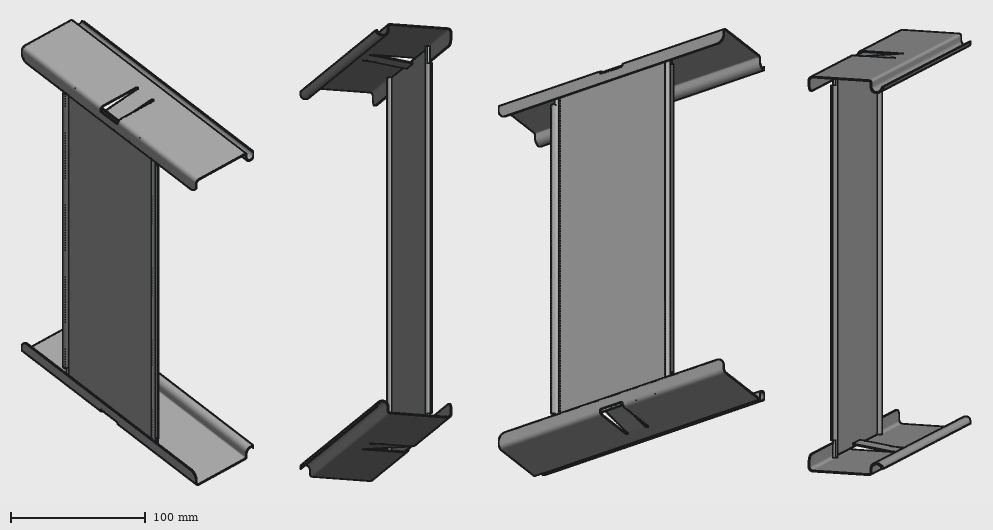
import cadquery as cq
import math

LENGTH = 200.0
DEPTH = 58.2
HEIGHT = 298.5
SHEET = 1.0

FRONT_BEND_R = 3.5
BACK_BEND_R = 2.2
FLANGE_HEIGHT = 12.2
FLANGE_CORNER_R = 6.0
HOOK_R = 4.7
HOOK_CENTRE_DROP = 5.0
HOOK_CORNER_R = 4.0

OPENING_WIDTH = 20.0
TAB_WIDTH = 16.0
WINDOW_CORNER_R = 1.5
WINDOW_DEPTH = 4.0
SLIT_END_Y = 36.0
TAB_HINGE_Y = 33.5
TAB_SLOPE = 0.13

WEB_SHEET = 1.0
WEB_CLEARANCE = 0.4
WEB_WIDTH = 109.0
WEB_END_GAP = 2.0
GROOVE_R = 2.0
GROOVE_X = 49.5
LIP_BEND_R = 0.8
LIP_END_GAP = 3.0
LIP_CORNER_R = 1.5

FLANGE_BOTTOM_Z = HEIGHT - FLANGE_HEIGHT
FRONT_BEND_Z = HEIGHT - FRONT_BEND_R
BACK_BEND_Z = HEIGHT - BACK_BEND_R
HOOK_INNER_R = HOOK_R - SHEET
HOOK_Y = DEPTH - HOOK_R
HOOK_Z = HEIGHT - HOOK_CENTRE_DROP
WALL_BACK_Y = HOOK_Y - HOOK_INNER_R
WALL_FRONT_Y = WALL_BACK_Y - SHEET
BACK_BEND_Y = WALL_BACK_Y - BACK_BEND_R
WINDOW_BOTTOM_Z = HEIGHT - WINDOW_DEPTH
WEB_FRONT_Y = SHEET + WEB_CLEARANCE
WEB_BACK_Y = WEB_FRONT_Y + WEB_SHEET
GROOVE_OUTER_X = GROOVE_X + GROOVE_R
LIP_TOP_Z = FLANGE_BOTTOM_Z - LIP_END_GAP
COS_45 = math.cos(math.pi / 4)


def box(x0, x1, y0, y1, z0, z1):
    """Box between two opposite corners."""
    return cq.Workplane("XY").box(x1 - x0, y1 - y0, z1 - z0, centered=False).translate((x0, y0, z0))


def disc(x, y, radius, z0, z1):
    """Upright cylinder between two heights."""
    return cq.Workplane("XY").circle(radius).extrude(z1 - z0).translate((x, y, z0))


def front_bend_mid(radius):
    """Middle (y, z) of a front bend arc."""
    return (FRONT_BEND_R - radius * COS_45, FRONT_BEND_Z + radius * COS_45)


def back_bend_mid(radius):
    """Middle (y, z) of a back bend arc."""
    return (BACK_BEND_Y + radius * COS_45, BACK_BEND_Z + radius * COS_45)


def channel_sheet():
    """Bent sheet: front flange, flat top, back wall and half-round hook."""
    under = HEIGHT - SHEET
    sheet = (
        cq.Workplane("YZ")
        .moveTo(0, FLANGE_BOTTOM_Z)
        .lineTo(0, FRONT_BEND_Z)
        .threePointArc(front_bend_mid(FRONT_BEND_R), (FRONT_BEND_R, HEIGHT))
        .lineTo(BACK_BEND_Y, HEIGHT)
        .threePointArc(back_bend_mid(BACK_BEND_R), (WALL_BACK_Y, BACK_BEND_Z))
        .lineTo(WALL_BACK_Y, HOOK_Z)
        .threePointArc((HOOK_Y, HOOK_Z - HOOK_INNER_R), (HOOK_Y + HOOK_INNER_R, HOOK_Z))
        .lineTo(DEPTH, HOOK_Z)
        .threePointArc((HOOK_Y, HOOK_Z - HOOK_R), (WALL_FRONT_Y, HOOK_Z))
        .lineTo(WALL_FRONT_Y, BACK_BEND_Z)
        .threePointArc(back_bend_mid(BACK_BEND_R - SHEET), (BACK_BEND_Y, under))
        .lineTo(FRONT_BEND_R, under)
        .threePointArc(front_bend_mid(FRONT_BEND_R - SHEET), (SHEET, FRONT_BEND_Z))
        .lineTo(SHEET, FLANGE_BOTTOM_Z)
        .close()
        .extrude(LENGTH / 2, both=True)
    )
    flange_corners = cq.selectors.BoxSelector(
        (-LENGTH, -SHEET, FLANGE_BOTTOM_Z - SHEET),
        (LENGTH, 2 * SHEET, FLANGE_BOTTOM_Z + SHEET),
    )
    return sheet.edges("|Y").edges(flange_corners).fillet(FLANGE_CORNER_R)


def hook_corner_waste():
    """Material removed to round the two free corners of the hook in plan."""
    y0 = DEPTH - HOOK_CORNER_R
    x_end = LENGTH / 2
    x0 = x_end - HOOK_CORNER_R
    square = box(x0, x_end, y0, DEPTH, FLANGE_BOTTOM_Z, HEIGHT)
    corner = square.cut(disc(x0, y0, HOOK_CORNER_R, FLANGE_BOTTOM_Z, HEIGHT))
    return corner.union(corner.mirror("YZ"))


def tab_opening():
    """Opening around the tab: window through the front bend, tongue area, two round-ended slits."""
    half = OPENING_WIDTH / 2
    above = HEIGHT + SHEET
    below = HEIGHT - 2 * SHEET
    window = box(-half, half, -SHEET, FRONT_BEND_R, WINDOW_BOTTOM_Z, above)
    opening = window.edges("|Y and <Z").fillet(WINDOW_CORNER_R)
    opening = opening.union(box(-half, half, SHEET, TAB_HINGE_Y, below, above))
    slit_r = (OPENING_WIDTH - TAB_WIDTH) / 4
    slit_round_y = SLIT_END_Y - slit_r
    for side in (-1, 1):
        x = side * (half - slit_r)
        straight = box(x - slit_r, x + slit_r, SHEET, slit_round_y, below, above)
        opening = opening.union(straight).union(disc(x, slit_round_y, slit_r, below, above))
    return opening


def tab():
    """Tongue hinged at the back, sloping down to press on the back of the web."""
    tip_z = HEIGHT - (TAB_HINGE_Y - WEB_BACK_Y) * TAB_SLOPE
    return (
        cq.Workplane("YZ")
        .moveTo(TAB_HINGE_Y, HEIGHT)
        .lineTo(WEB_BACK_Y, tip_z)
        .lineTo(WEB_BACK_Y, tip_z - SHEET)
        .lineTo(TAB_HINGE_Y, HEIGHT - SHEET)
        .close()
        .extrude(TAB_WIDTH / 2, both=True)
    )


def top_channel():
    """Channel with its hook corners rounded and its tab pressed out."""
    return channel_sheet().cut(hook_corner_waste()).cut(tab_opening()).union(tab())


def web_half_profile():
    """Right half of the web section (x, y): flat, half-round groove, lip bend and lip."""
    edge_x = WEB_WIDTH / 2
    groove_inner_x = GROOVE_X - GROOVE_R
    groove_y = WEB_FRONT_Y + LIP_BEND_R
    ridge_r = GROOVE_R + WEB_SHEET
    ridge_half_width = math.sqrt(ridge_r**2 - (WEB_BACK_Y - groove_y) ** 2)
    lip_x = GROOVE_OUTER_X + LIP_BEND_R
    lip_bend_mid = (lip_x - LIP_BEND_R * COS_45, groove_y - LIP_BEND_R * COS_45)
    return (
        cq.Workplane("XY")
        .moveTo(0, WEB_FRONT_Y)
        .lineTo(groove_inner_x, WEB_FRONT_Y)
        .lineTo(groove_inner_x, groove_y)
        .threePointArc((GROOVE_X, groove_y + GROOVE_R), (GROOVE_OUTER_X, groove_y))
        .threePointArc(lip_bend_mid, (lip_x, WEB_FRONT_Y))
        .lineTo(edge_x, WEB_FRONT_Y)
        .lineTo(edge_x, WEB_BACK_Y)
        .lineTo(GROOVE_X + ridge_half_width, WEB_BACK_Y)
        .threePointArc((GROOVE_X, groove_y + ridge_r), (GROOVE_X - ridge_half_width, WEB_BACK_Y))
        .lineTo(0, WEB_BACK_Y)
        .close()
    )


def lip_waste():
    """Material removed so the lip ends, with rounded corners, short of the flanges."""
    edge_x = WEB_WIDTH / 2
    strip = box(GROOVE_OUTER_X, edge_x + WEB_SHEET, 0, DEPTH, 0, HEIGHT)
    lip = box(GROOVE_X, edge_x, 0, DEPTH, HEIGHT - LIP_TOP_Z, LIP_TOP_Z)
    return strip.cut(lip.edges("|Y and >X").fillet(LIP_CORNER_R))


def web():
    """Flat plate with a half-round groove and a short lip along each long edge."""
    half = web_half_profile().extrude(HEIGHT - 2 * WEB_END_GAP).translate((0, 0, WEB_END_GAP))
    half = half.cut(lip_waste())
    return half.union(half.mirror("YZ"))


upper = top_channel()
lower = upper.mirror("XY", (0, 0, HEIGHT / 2))
result = upper.union(lower).union(web())